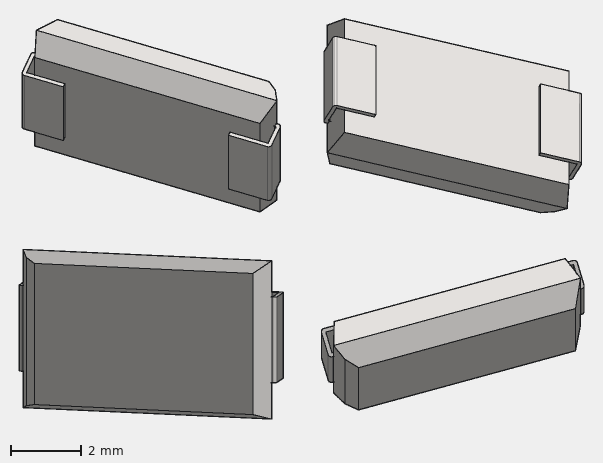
import cadquery as cq

overall_length = 7.6
body_length = 7.335
body_height = 4.6

half_depth = 0.76

side_inset = 0.25
front_end_inset = 0.235
back_end_inset = 0.365

bevel_depth = 0.31

lead_thickness = 0.12
lead_width = 2.485
pad_length = 1.285
bend_radius = 0.1
tab_length = 0.38
lead_front_y = -(half_depth + lead_thickness)


def tapered_half(end_inset, direction):
    """Half body narrowing from the parting plane; direction is +1 for back, -1 for front."""
    return (
        cq.Workplane("XZ")
        .rect(body_length, body_height)
        .workplane(offset=-direction * half_depth)
        .rect(body_length - 2 * end_inset, body_height - 2 * side_inset)
        .loft(ruled=True, combine=True)
    )


def bevel_cutter():
    """Triangular prism that cuts the 45 degree bevel at the +X end of the back face."""
    end_slope = back_end_inset / half_depth
    bevel_end_x = body_length / 2 - end_slope * (half_depth - bevel_depth)
    return (
        cq.Workplane("XY")
        .moveTo(bevel_end_x - bevel_depth, half_depth)
        .lineTo(bevel_end_x, half_depth - bevel_depth)
        .lineTo(bevel_end_x, half_depth)
        .close()
        .extrude(body_height / 2, both=True)
    )


def make_lead(side):
    """C-shaped lead at the +X (side = 1) or -X (side = -1) end."""
    outer_x = side * overall_length / 2
    inner_x = outer_x - side * lead_thickness
    pad_end_x = outer_x - side * pad_length
    tab_end_x = outer_x - side * tab_length
    pad_inner_y = -half_depth
    profile = [
        (tab_end_x, 0),
        (outer_x, 0),
        (outer_x, lead_front_y),
        (pad_end_x, lead_front_y),
        (pad_end_x, pad_inner_y),
        (inner_x, pad_inner_y),
        (inner_x, -lead_thickness),
        (tab_end_x, -lead_thickness),
    ]
    lead = cq.Workplane("XY").polyline(profile).close().extrude(lead_width / 2, both=True)
    outer_face = ">X" if side > 0 else "<X"
    return lead.faces(outer_face).edges("|Z").fillet(bend_radius)


leads = [make_lead(side) for side in (-1, 1)]

back_half = tapered_half(back_end_inset, 1).cut(bevel_cutter())

front_half = tapered_half(front_end_inset, -1)
for lead in leads:
    front_half = front_half.cut(lead)

result = cq.Compound.makeCompound([
    back_half.val(),
    front_half.val(),
    *[lead.val() for lead in leads],
])